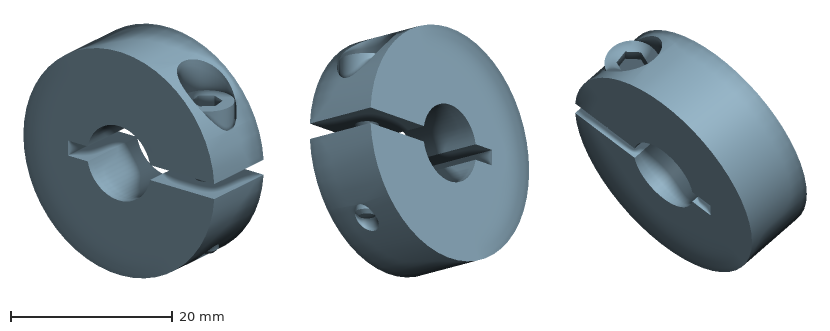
import cadquery as cq

outer_diameter = 30.0
bore_diameter = 10.0
collar_width = 10.0
slot_height = 2.0
slot_end_x = -8.0

screw_x = 9.93
shank_diameter = 3.0
head_diameter = 6.9
head_height = shank_diameter
head_top_z = 9.27
head_bottom_z = head_top_z - head_height
screw_tip_z = -10.85
tip_chamfer = 0.48
counterbore_diameter = 7.4

socket_corner_diameter = 3.93
socket_depth = head_height / 2
socket_turn = 40.0


def cylinder_along_screw(diameter, bottom_z, top_z):
    """Cylinder on the screw axis between two heights."""
    return (
        cq.Workplane("XY", origin=(screw_x, 0, bottom_z))
        .circle(diameter / 2)
        .extrude(top_z - bottom_z)
    )


def make_collar():
    """Ring with a clamping slot, a screw hole and a counterbore."""
    ring = (
        cq.Workplane("XZ")
        .circle(outer_diameter / 2)
        .circle(bore_diameter / 2)
        .extrude(collar_width / 2, both=True)
    )
    slot_length = outer_diameter / 2 - slot_end_x
    slot = (
        cq.Workplane("XY")
        .box(slot_length, collar_width, slot_height)
        .translate((slot_end_x + slot_length / 2, 0, 0))
    )
    screw_hole = cylinder_along_screw(shank_diameter, -outer_diameter / 2, head_bottom_z)
    counterbore = cylinder_along_screw(counterbore_diameter, head_bottom_z, outer_diameter / 2)
    return ring.cut(slot).cut(screw_hole).cut(counterbore)


def make_screw():
    """Socket-head screw with a chamfered tip."""
    shank = cylinder_along_screw(shank_diameter, screw_tip_z, head_bottom_z)
    shank = shank.faces("<Z").chamfer(tip_chamfer)
    head = cylinder_along_screw(head_diameter, head_bottom_z, head_top_z)
    socket = (
        cq.Workplane("XY")
        .polygon(6, socket_corner_diameter)
        .extrude(socket_depth)
        .rotate((0, 0, 0), (0, 0, 1), socket_turn)
        .translate((screw_x, 0, head_top_z - socket_depth))
    )
    return shank.union(head).cut(socket)


collar = make_collar()
screw = make_screw()

result = cq.Compound.makeCompound([collar.val(), screw.val()])